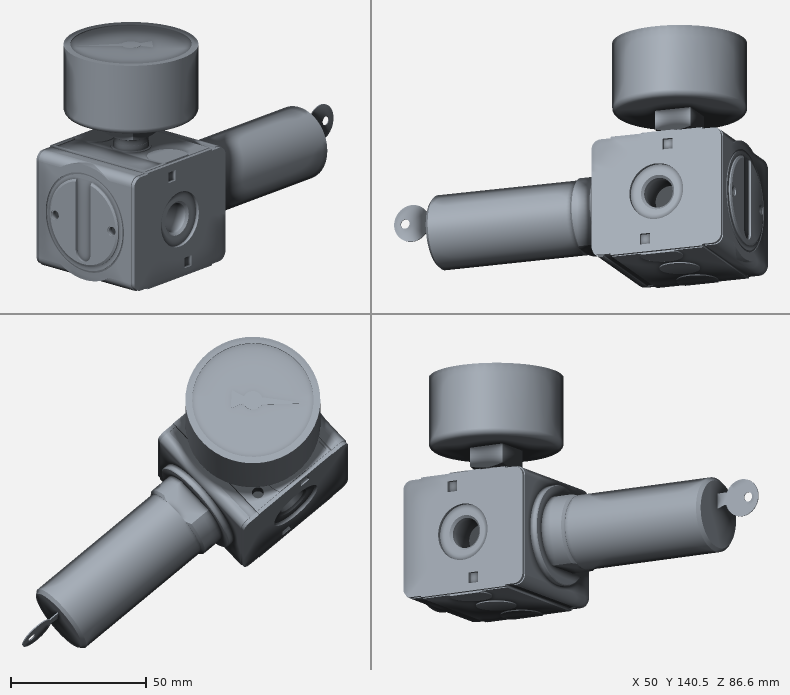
import cadquery as cq
import math


CORE_HALF_WIDTH = 22.6
BLOCK_HALF_WIDTH = 24.0
BLOCK_FRONT = -26.0
BLOCK_BACK = 26.0
BLOCK_HALF_HEIGHT = 22.5
BLOCK_EDGE_RADIUS = 3.5
PLATFORM_HALF_LENGTH = 18.1
PLATFORM_HALF_HEIGHT = 23.0
END_PLATE_INSET = 0.3
GROOVE_FLOOR_HALF_HEIGHT = 21.9
FRONT_GROOVE_END = -18.8
BACK_GROOVE_END = 21.5

PAD_HEIGHT = 0.4
CENTRE_PAD_DIAMETER = 15.0
SIDE_PAD_DIAMETER = 15.7
SIDE_PAD_OFFSET = 18.3
PAD_TOP = PLATFORM_HALF_HEIGHT + PAD_HEIGHT

LABEL_HALF_WIDTH = 21.5
LABEL_FRONT = -17.5
LABEL_BACK = -7.0
LABEL_DEPTH = 0.4
VENT_DIAMETER = 4.4
VENT_X = -17.4
VENT_Y = 12.9
VENT_DEPTH = 4.2

PORT_RECESS_DIAMETER = 21.4
SIDE_RECESS_DEPTH = 1.4
PORT_MOUTH_DIAMETER = 13.2
PORT_DIAMETER = 11.4
PORT_DEPTH = 14.0
MARK_SIZE = 4.1
MARK_Y = 4.5
MARK_Z = 17.8

RING_GROOVE_OUTER_RADIUS = 19.2
RING_GROOVE_INNER_RADIUS = 18.5
RING_GROOVE_DEPTH = 0.4
DISC_DIAMETER = 33.7
DISC_HEIGHT = 1.0
DISC_CHAMFER = 0.8
DISC_CHAMFER_HEIGHT = 0.4
DISC_FRONT = BLOCK_FRONT - DISC_HEIGHT
SLOT_WIDTH = 7.3
SLOT_BOTTOM = -15.0
SLOT_DEPTH = 1.1
SPANNER_HOLE_OFFSET = 13.9
SPANNER_HOLE_MOUTH_DIAMETER = 4.0
SPANNER_HOLE_DIAMETER = 3.2
SPANNER_HOLE_MOUTH_DEPTH = 0.4
SPANNER_HOLE_DEPTH = 2.1

FLANGE_DIAMETER = 37.5
FLANGE_END = 28.7
FLANGE_CHAMFER = 0.3
COLLAR_DIAMETER = 30.2
COLLAR_END = 38.1
COLLAR_CHAMFER = 1.0
COLLAR_FLATS = 26.1
BARREL_DIAMETER = 28.0
BARREL_END = 96.0
BARREL_CHAMFER = 1.3

KEY_X = 0.4
KEY_THICKNESS = 0.4
KEY_END = 113.5
KEY_BOW_RADIUS = 7.0
KEY_Z = 4.9
KEY_RING_HOLE_DIAMETER = 3.5
KEY_RING_HOLE_Y = 109.2
SHANK_TOP = 7.7
SHANK_NOTCH_Z = 3.0
SHANK_NOTCH_Y = 98.8
SHANK_BOTTOM = 2.0

GAUGE_DIAMETER = 50.0
GAUGE_TOP = 63.2
GAUGE_BOTTOM = 36.1
GAUGE_EDGE_RADIUS = 2.2
DIAL_DIAMETER = 45.0
DIAL_DEPTH = 0.4
STEM_SQUARE = 14.0
STEM_SQUARE_BOTTOM = 27.8
STEM_CORNER_CHAMFER = 1.1
NECK_DIAMETER = 13.0
NECK_BOTTOM = 25.6
SPIGOT_DIAMETER = 13.2
NEEDLE_ANGLE = 45
NEEDLE_HEIGHT = 0.1
NEEDLE_HUB_RADIUS = 3.7
NEEDLE_TIP = 20.4
NEEDLE_BASE_WIDTH = 3.4
NEEDLE_TAIL_LENGTH = 8.0
NEEDLE_TAIL_WIDTH = 7.2
NEEDLE_NECK_WIDTH = 2.7
NEEDLE_NECK_OFFSET = 3.2


def box(x_range, y_range, z_range):
    size = [end - start for start, end in (x_range, y_range, z_range)]
    corner = (x_range[0], y_range[0], z_range[0])
    return cq.Workplane("XY").box(*size, centered=False).translate(corner)


def y_cylinder(diameter, y_start, y_end, x=0, z=0):
    plane = cq.Workplane("XZ", origin=(x, y_start, z))
    return plane.circle(diameter / 2).extrude(y_start - y_end)


def z_cylinder(diameter, z_start, z_end, x=0, y=0):
    plane = cq.Workplane("XY", origin=(x, y, z_start))
    return plane.circle(diameter / 2).extrude(z_end - z_start)


def block_slab(half_width, inset):
    """Rounded block with thicker platforms in the middle, shrunk all round by the inset."""
    half_height = BLOCK_HALF_HEIGHT - inset
    platform_half_height = PLATFORM_HALF_HEIGHT - inset
    x_range = (-half_width, half_width)
    y_range = (BLOCK_FRONT + inset, BLOCK_BACK - inset)
    slab = box(x_range, y_range, (-half_height, half_height))
    slab = slab.edges("|X").fillet(BLOCK_EDGE_RADIUS)
    platform = box(
        x_range,
        (-PLATFORM_HALF_LENGTH, PLATFORM_HALF_LENGTH),
        (-platform_half_height, platform_half_height),
    )
    return slab.union(platform)


def block_grooves():
    """Grooves across the top and bottom, in front of and behind the platforms."""
    floor_z = GROOVE_FLOOR_HALF_HEIGHT
    x_range = (-CORE_HALF_WIDTH, CORE_HALF_WIDTH)
    grooves = cq.Workplane("XY")
    for y_range in ((FRONT_GROOVE_END, -PLATFORM_HALF_LENGTH), (PLATFORM_HALF_LENGTH, BACK_GROOVE_END)):
        for z_range in ((floor_z, PAD_TOP), (-PAD_TOP, -floor_z)):
            grooves = grooves.add(box(x_range, y_range, z_range))
    return grooves.combine()


def platform_pads():
    """Centre and side pads, running through the block from bottom to top."""
    core = box(
        (-CORE_HALF_WIDTH, CORE_HALF_WIDTH),
        (-PLATFORM_HALF_LENGTH, PLATFORM_HALF_LENGTH),
        (-PAD_TOP, PAD_TOP),
    )
    pads = z_cylinder(CENTRE_PAD_DIAMETER, -PAD_TOP, PAD_TOP)
    for x in (-SIDE_PAD_OFFSET, SIDE_PAD_OFFSET):
        pads = pads.union(z_cylinder(SIDE_PAD_DIAMETER, -PAD_TOP, PAD_TOP, x))
    return pads.intersect(core)


def top_cuts():
    label_pocket = box(
        (-LABEL_HALF_WIDTH, LABEL_HALF_WIDTH),
        (LABEL_FRONT, LABEL_BACK),
        (PLATFORM_HALF_HEIGHT - LABEL_DEPTH, PAD_TOP),
    )
    vent = z_cylinder(VENT_DIAMETER, PLATFORM_HALF_HEIGHT - VENT_DEPTH, PAD_TOP, VENT_X, VENT_Y)
    return label_pocket.union(vent)


def left_side_cuts():
    """Port with its shallow seat, and two square marks, in the -X face."""
    floor_x = -BLOCK_HALF_WIDTH + SIDE_RECESS_DEPTH
    mouth_radius = PORT_MOUTH_DIAMETER / 2
    bore_radius = PORT_DIAMETER / 2
    bore_start = floor_x + mouth_radius - bore_radius
    port = (
        cq.Workplane("XY")
        .moveTo(-BLOCK_HALF_WIDTH, 0)
        .lineTo(-BLOCK_HALF_WIDTH, PORT_RECESS_DIAMETER / 2)
        .lineTo(floor_x, PORT_RECESS_DIAMETER / 2)
        .lineTo(floor_x, mouth_radius)
        .lineTo(bore_start, bore_radius)
        .lineTo(-BLOCK_HALF_WIDTH + PORT_DEPTH, bore_radius)
        .lineTo(-BLOCK_HALF_WIDTH + PORT_DEPTH, 0)
        .close()
        .revolve(360, (0, 0, 0), (1, 0, 0))
    )
    marks = (
        cq.Workplane("YZ", origin=(-BLOCK_HALF_WIDTH, 0, 0))
        .pushPoints([(-MARK_Y, MARK_Z), (MARK_Y, -MARK_Z)])
        .rect(MARK_SIZE, MARK_SIZE)
        .extrude(SIDE_RECESS_DEPTH)
    )
    return port.union(marks)


def cover_disc():
    disc = y_cylinder(DISC_DIAMETER, DISC_FRONT, BLOCK_FRONT + DISC_HEIGHT)
    return disc.faces("<Y").edges().chamfer(DISC_CHAMFER_HEIGHT, DISC_CHAMFER)


def cover_cuts():
    """Ring groove, pointer slot and the two spanner holes of the front cover."""
    groove_floor = BLOCK_FRONT + RING_GROOVE_DEPTH
    groove = y_cylinder(2 * RING_GROOVE_OUTER_RADIUS, BLOCK_FRONT, groove_floor)
    groove = groove.cut(y_cylinder(2 * RING_GROOVE_INNER_RADIUS, BLOCK_FRONT, groove_floor))
    half_slot = SLOT_WIDTH / 2
    slot_floor = DISC_FRONT + SLOT_DEPTH
    slot_end_z = SLOT_BOTTOM + half_slot
    cuts = box((-half_slot, half_slot), (DISC_FRONT, slot_floor), (slot_end_z, DISC_DIAMETER / 2))
    cuts = cuts.union(y_cylinder(SLOT_WIDTH, DISC_FRONT, slot_floor, z=slot_end_z)).union(groove)
    for x in (-SPANNER_HOLE_OFFSET, SPANNER_HOLE_OFFSET):
        mouth = y_cylinder(SPANNER_HOLE_MOUTH_DIAMETER, DISC_FRONT, DISC_FRONT + SPANNER_HOLE_MOUTH_DEPTH, x)
        hole = y_cylinder(SPANNER_HOLE_DIAMETER, DISC_FRONT, DISC_FRONT + SPANNER_HOLE_DEPTH, x)
        cuts = cuts.union(mouth).union(hole)
    return cuts


def barrel():
    flange = y_cylinder(FLANGE_DIAMETER, 0, FLANGE_END).faces(">Y").edges().chamfer(FLANGE_CHAMFER)
    collar = y_cylinder(COLLAR_DIAMETER, 0, COLLAR_END).faces(">Y").edges().chamfer(COLLAR_CHAMFER)
    flats = box(
        (-COLLAR_DIAMETER / 2, COLLAR_DIAMETER / 2),
        (0, COLLAR_END),
        (-COLLAR_FLATS / 2, COLLAR_FLATS / 2),
    )
    grip = y_cylinder(BARREL_DIAMETER, COLLAR_END, BARREL_END)
    grip = grip.faces(">Y").edges().chamfer(BARREL_CHAMFER)
    return flange.union(collar.intersect(flats)).union(grip)


def key():
    bow_y = KEY_END - KEY_BOW_RADIUS
    plane = cq.Workplane("YZ", origin=(KEY_X - KEY_THICKNESS / 2, 0, 0))
    bow = plane.center(bow_y, KEY_Z).circle(KEY_BOW_RADIUS).extrude(KEY_THICKNESS)
    shank = (
        plane.moveTo(BARREL_END, SHANK_BOTTOM)
        .lineTo(SHANK_NOTCH_Y, SHANK_NOTCH_Z)
        .lineTo(bow_y, SHANK_NOTCH_Z)
        .lineTo(bow_y, SHANK_TOP)
        .lineTo(BARREL_END, SHANK_TOP)
        .close()
        .extrude(KEY_THICKNESS)
    )
    hole = plane.center(KEY_RING_HOLE_Y, KEY_Z).circle(KEY_RING_HOLE_DIAMETER / 2).extrude(KEY_THICKNESS)
    return bow.union(shank).cut(hole)


def regulator_body():
    body = block_slab(CORE_HALF_WIDTH, 0).union(block_slab(BLOCK_HALF_WIDTH, END_PLATE_INSET))
    body = body.cut(block_grooves()).union(platform_pads())
    body = body.union(y_cylinder(2 * BLOCK_HALF_HEIGHT, BLOCK_FRONT, FRONT_GROOVE_END))
    body = body.union(cover_disc()).union(barrel()).union(key())
    side_cuts = left_side_cuts()
    body = body.cut(side_cuts).cut(side_cuts.mirror("YZ"))
    return body.cut(top_cuts()).cut(cover_cuts())


def gauge_stem():
    """Square shank with rounded lower corners, a neck and a wider spigot on the centre pad."""
    half_square = STEM_SQUARE / 2
    shank = box(
        (-half_square, half_square),
        (-half_square, half_square),
        (STEM_SQUARE_BOTTOM, GAUGE_BOTTOM),
    )
    corner_reach = half_square * math.sqrt(2)
    corner_cone = (
        z_cylinder(2 * corner_reach, STEM_SQUARE_BOTTOM, GAUGE_BOTTOM)
        .faces("<Z")
        .edges()
        .chamfer(STEM_CORNER_CHAMFER, corner_reach - half_square)
    )
    neck = z_cylinder(NECK_DIAMETER, NECK_BOTTOM, STEM_SQUARE_BOTTOM)
    spigot = z_cylinder(SPIGOT_DIAMETER, PAD_TOP, NECK_BOTTOM)
    return shank.intersect(corner_cone).union(neck).union(spigot)


def needle():
    """Needle lying along -X with its tail along +X, turned about the gauge axis."""
    floor_z = GAUGE_TOP - DIAL_DEPTH
    plane = cq.Workplane("XY", origin=(0, 0, floor_z))
    hub = plane.circle(NEEDLE_HUB_RADIUS).extrude(NEEDLE_HEIGHT)
    pointer = plane.polyline(
        [(-NEEDLE_TIP, 0), (0, -NEEDLE_BASE_WIDTH / 2), (0, NEEDLE_BASE_WIDTH / 2)]
    )
    pointer = pointer.close().extrude(NEEDLE_HEIGHT)
    tail = (
        plane.moveTo(0, -NEEDLE_NECK_WIDTH / 2)
        .lineTo(NEEDLE_NECK_OFFSET, -NEEDLE_NECK_WIDTH / 2)
        .lineTo(NEEDLE_TAIL_LENGTH, -NEEDLE_TAIL_WIDTH / 2)
        .lineTo(NEEDLE_TAIL_LENGTH, NEEDLE_TAIL_WIDTH / 2)
        .lineTo(NEEDLE_NECK_OFFSET, NEEDLE_NECK_WIDTH / 2)
        .lineTo(0, NEEDLE_NECK_WIDTH / 2)
        .close()
        .extrude(NEEDLE_HEIGHT)
    )
    return hub.union(pointer).union(tail).rotate((0, 0, 0), (0, 0, 1), NEEDLE_ANGLE)


def pressure_gauge():
    case = z_cylinder(GAUGE_DIAMETER, GAUGE_BOTTOM, GAUGE_TOP)
    case = case.faces("<Z").edges().fillet(GAUGE_EDGE_RADIUS)
    case = case.cut(z_cylinder(DIAL_DIAMETER, GAUGE_TOP - DIAL_DEPTH, GAUGE_TOP))
    return case.union(needle()).union(gauge_stem())


regulator = regulator_body()
gauge = pressure_gauge()

result = cq.Compound.makeCompound([regulator.val(), gauge.val()])